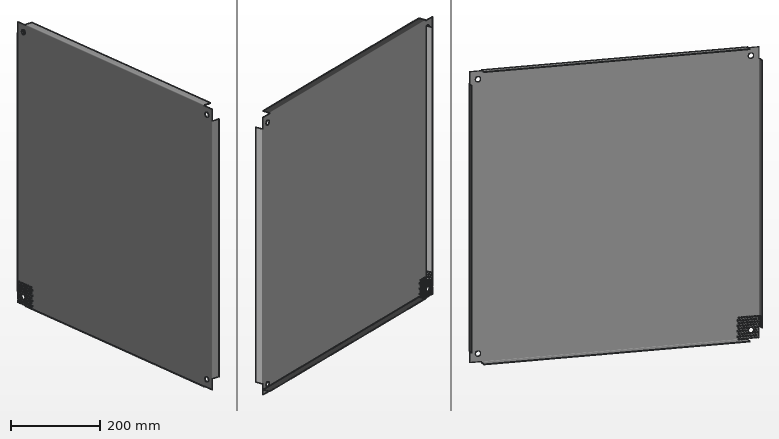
import cadquery as cq

side = 686.0
depth = 19.0

sheet = 2.0
bend_radius = 3.0
corner_inset = 3.0
flange_gap = 30.0

mount_diameter = 12.5
mount_inset = 22.0

pitch = 6.3
small_diameter = 3.3
row_count = 9
holes_per_row = 8

half = side / 2
plate_half = half - corner_inset
plate_side = 2 * plate_half
mount_place = half - mount_inset
corners = [(x_sign, z_sign) for x_sign in (-1, 1) for z_sign in (-1, 1)]
row_heights = [row * pitch - plate_half for row in range(row_count)]


def block(x_size, z_size, y_start, y_size):
    """A box centred on the Y axis whose front is at y_start."""
    box = cq.Workplane("XY").box(x_size, y_size, z_size, centered=(True, False, True))
    return box.translate((0, y_start, 0))


def folded_tray():
    """Front plate with four flanges bent backwards, left open at the corners."""
    outer = block(side, side, 0, depth).faces("<Y").edges().fillet(bend_radius)
    inner_side = side - 2 * sheet
    inner = block(inner_side, inner_side, sheet, depth)
    inner = inner.faces("<Y").edges().fillet(bend_radius - sheet)
    tray = outer.cut(inner)
    opening = block(2 * flange_gap, 2 * flange_gap, 0, depth)
    for x_sign, z_sign in corners:
        tray = tray.cut(opening.translate((x_sign * half, 0, z_sign * half)))
    return tray.union(block(plate_side, plate_side, 0, sheet))


def plate_drills(places, diameter):
    """Cylinders that pass through the front plate at the given (x, z) places."""
    return cq.Workplane("XZ").pushPoints(places).circle(diameter / 2).extrude(-sheet)


def flange_drills(places, diameter):
    """Cylinders that pass through the left flange at the given (y, z) places."""
    plane = cq.Workplane("YZ", origin=(-half, 0, 0))
    return plane.pushPoints(places).circle(diameter / 2).extrude(sheet)


def plate_perforation():
    """(x, z) places of the small holes in the front plate."""
    places = []
    for row, z in enumerate(row_heights):
        shifted = row % 2 == 0
        start = pitch / 2 if shifted else 0
        count = holes_per_row if shifted else holes_per_row + 1
        places += [(start + column * pitch - plate_half, z) for column in range(count)]
    return places


def flange_perforation():
    """(y, z) places of the small holes, in line with the rows that meet the left flange."""
    places = []
    for row, z in enumerate(row_heights):
        if z + half + small_diameter / 2 > flange_gap:
            offsets = (-pitch, 0, pitch) if row % 2 == 0 else (-pitch / 2, pitch / 2)
            places += [(depth / 2 + offset, z) for offset in offsets]
    return places


mount_places = [(x_sign * mount_place, z_sign * mount_place) for x_sign, z_sign in corners]

result = folded_tray()
result = result.cut(plate_drills(mount_places, mount_diameter))
result = result.cut(plate_drills(plate_perforation(), small_diameter))
result = result.cut(flange_drills(flange_perforation(), small_diameter))